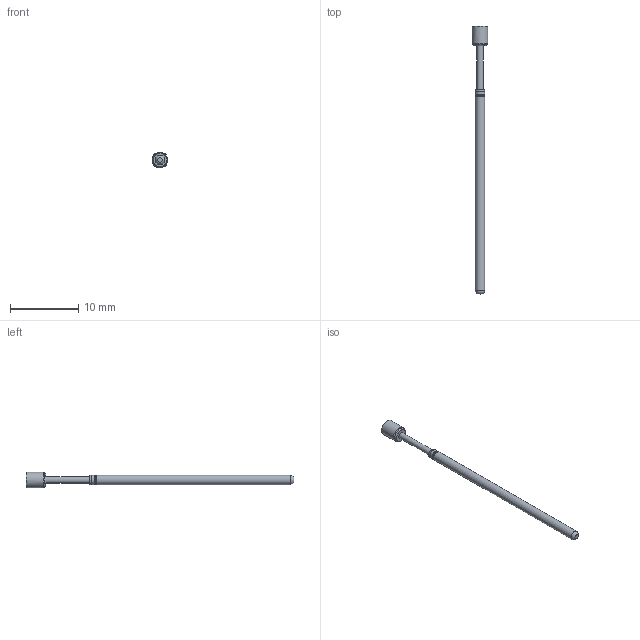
import cadquery as cq
import math

total_length = 39.3
head_end = total_length / 2
tip_end = -total_length / 2

head_radius = 2.3 / 2
head_length = 2.9
head_start = head_end - head_length
head_taper_length = 0.3
head_taper_depth = 0.2
head_shoulder_radius = 0.35

rod_radius = 0.9 / 2

barrel_radius = 1.36 / 2
barrel_length = 30.0
barrel_end = tip_end + barrel_length
mouth_length = 0.25
mouth_depth = 0.03

groove_offset = 0.71
groove_width = 0.36
groove_depth = 0.05

tip_flat_radius = 0.33
dome_radius = 0.5
dome_center_radius = barrel_radius - dome_radius
dome_length = math.sqrt(dome_radius**2 - (tip_flat_radius - dome_center_radius) ** 2)


def revolve_about_y(profile):
    """Turn a closed half profile in the XY plane about the part axis."""
    return profile.close().revolve(360, (0, 0), (0, 1))


def make_head():
    """Cylindrical head with a tapered rim on the rod side, its shoulder rounded."""
    taper_end = head_start + head_taper_length
    head = revolve_about_y(
        cq.Workplane("XY")
        .moveTo(0, head_start)
        .lineTo(head_radius - head_taper_depth, head_start)
        .lineTo(head_radius, taper_end)
        .lineTo(head_radius, head_end)
        .lineTo(0, head_end)
    )
    shoulder = cq.selectors.BoxSelector(
        (-head_radius, taper_end - head_taper_length / 2, -head_radius),
        (head_radius, taper_end + head_taper_length / 2, head_radius),
    )
    return head.edges("%CIRCLE").edges(shoulder).fillet(head_shoulder_radius)


def make_rod():
    """Plain rod joining the barrel to the head."""
    rod_length = head_start - barrel_end
    return cq.Workplane("XZ", origin=(0, barrel_end, 0)).circle(rod_radius).extrude(-rod_length)


def make_barrel():
    """Barrel with a rounded mouth, a crimp groove and a domed tip."""
    groove_upper = barrel_end - groove_offset
    groove_lower = groove_upper - groove_width
    groove_middle = (groove_upper + groove_lower) / 2
    dome_start = tip_end + dome_length

    flat_angle = math.asin((tip_flat_radius - dome_center_radius) / dome_radius)
    middle_angle = (flat_angle + math.pi / 2) / 2
    dome_middle = (
        dome_center_radius + dome_radius * math.sin(middle_angle),
        dome_start - dome_radius * math.cos(middle_angle),
    )
    return revolve_about_y(
        cq.Workplane("XY")
        .moveTo(0, tip_end)
        .lineTo(tip_flat_radius, tip_end)
        .threePointArc(dome_middle, (barrel_radius, dome_start))
        .lineTo(barrel_radius, groove_lower)
        .lineTo(barrel_radius - groove_depth, groove_middle)
        .lineTo(barrel_radius, groove_upper)
        .lineTo(barrel_radius, barrel_end - mouth_length)
        .tangentArcPoint((barrel_radius - mouth_depth, barrel_end), relative=False)
        .lineTo(0, barrel_end)
    )


result = make_barrel().union(make_rod()).union(make_head())